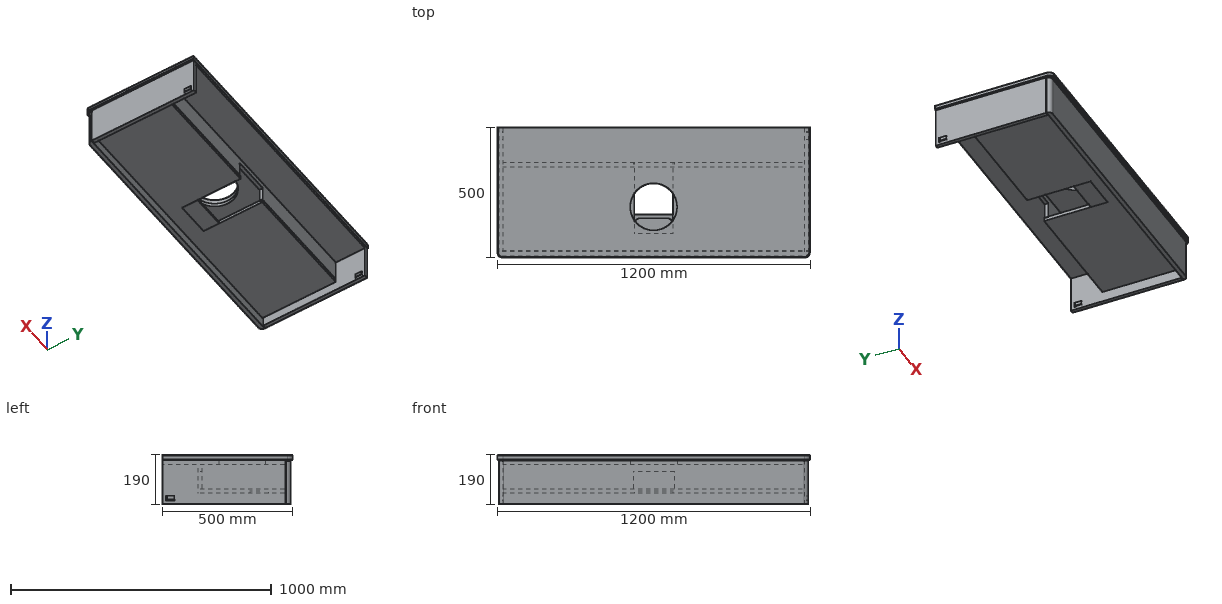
import cadquery as cq
WIDTH = 1200.0
DEPTH = 500.0
HEIGHT = 190.0
BACK_Y = DEPTH / 2
BOARD = 15.0

TOP_THICKNESS = 20.0
TOP_CORNER_RADIUS = 22.0
TOP_CHAMFER = 3.0
TOP_BOTTOM_Z = HEIGHT - TOP_THICKNESS

OPENING_DIAMETER = 180.0
OPENING_Y = -55.0

OVERHANG = 6.0
SIDE_FRONT_Y = -222.0
SIDE_OUTER_X = WIDTH / 2 - OVERHANG
SIDE_INNER_X = SIDE_OUTER_X - BOARD
SIDE_LENGTH = BACK_Y - SIDE_FRONT_Y
INNER_WIDTH = 2 * SIDE_INNER_X
TOP_PANEL_BOTTOM_Z = TOP_BOTTOM_Z - BOARD

FRONT_GAP = 2.0
FRONT_THICKNESS = 18.0
FRONT_CORNER_RADIUS = 35.0 / 2
FRONT_BACK_Y = SIDE_FRONT_Y - FRONT_GAP
FRONT_HEIGHT = TOP_BOTTOM_Z - FRONT_GAP

FLOOR_TOP_Z = 60.0
FLOOR_BOTTOM_Z = FLOOR_TOP_Z - BOARD
DRAWER_BACK_INNER_Y = 100.0
DRAWER_BACK_Y = DRAWER_BACK_INNER_Y + BOARD
NOTCH_WIDTH = 148.0
BACK_NOTCH_SETBACK = 5.0
BACK_NOTCH_WIDTH = NOTCH_WIDTH + 2 * BACK_NOTCH_SETBACK
NOTCH_TOP_Z = 127.0

GUARD_BACK_Y = OPENING_Y - 29.0
GUARD_LENGTH = 72.0
GUARD_FRONT_Y = GUARD_BACK_Y - GUARD_LENGTH
GUARD_LIP = 15.0
GUARD_LIP_DROP = BOARD / 2
GUARD_CORNER_RADIUS = 23.0

SLOT_LENGTH = 31.0
SLOT_HEIGHT = 18.0
SLOT_FROM_BACK = 15.0
SLOT_BOTTOM_Z = 15.0
HANGER_GAP = 4.0
SLOT_FRONT_Y = BACK_Y - SLOT_FROM_BACK - SLOT_LENGTH


def block(x_min, y_min, z_min, x_size, y_size, z_size):
    """Box placed by its minimum corner."""
    return cq.Workplane("XY").box(x_size, y_size, z_size, centered=False).translate((x_min, y_min, z_min))


def centred_block(y_min, z_min, x_size, y_size, z_size):
    """Box placed symmetrically about X = 0."""
    return block(-x_size / 2, y_min, z_min, x_size, y_size, z_size)


def cut_round_opening(panel):
    """Cut the round opening through the full height of a panel."""
    drill = cq.Workplane("XY").center(0, OPENING_Y).circle(OPENING_DIAMETER / 2).extrude(HEIGHT)
    return panel.cut(drill)


def side_panel_x(side):
    """Lower X limit of the panel on the left (-1) or right (+1) side."""
    return -SIDE_OUTER_X if side < 0 else SIDE_INNER_X


def make_countertop():
    slab = centred_block(-BACK_Y, TOP_BOTTOM_Z, WIDTH, DEPTH, TOP_THICKNESS)
    slab = slab.edges("|Z and <Y").fillet(TOP_CORNER_RADIUS)
    rim_edges = [edge for edge in slab.faces("|Z").edges().vals() if edge.Center().y < BACK_Y - TOP_CHAMFER]
    slab = slab.newObject(rim_edges).chamfer(TOP_CHAMFER)
    return cut_round_opening(slab)


def make_top_panel():
    panel = centred_block(SIDE_FRONT_Y, TOP_PANEL_BOTTOM_Z, INNER_WIDTH, SIDE_LENGTH, BOARD)
    return cut_round_opening(panel)


def make_side_panel(side):
    x_min = side_panel_x(side)
    panel = block(x_min, SIDE_FRONT_Y, 0, BOARD, SIDE_LENGTH, TOP_BOTTOM_Z)
    return panel.cut(block(x_min, SLOT_FRONT_Y, SLOT_BOTTOM_Z, BOARD, SLOT_LENGTH, SLOT_HEIGHT))


def make_hanger(side):
    """Hanger block in the slot, against the slot's front and top faces."""
    return block(
        side_panel_x(side), SLOT_FRONT_Y, SLOT_BOTTOM_Z + HANGER_GAP,
        BOARD, SLOT_LENGTH - HANGER_GAP, SLOT_HEIGHT - HANGER_GAP,
    )


def make_drawer_front():
    front_y = FRONT_BACK_Y - FRONT_THICKNESS
    panel = centred_block(front_y, 0, 2 * SIDE_OUTER_X, FRONT_THICKNESS, FRONT_HEIGHT)
    return panel.edges("|Z and <Y").fillet(FRONT_CORNER_RADIUS)


def make_drawer_floor():
    floor_length = DRAWER_BACK_Y - FRONT_BACK_Y
    floor = centred_block(FRONT_BACK_Y, FLOOR_BOTTOM_Z, INNER_WIDTH, floor_length, BOARD)
    notch_length = DRAWER_BACK_Y - GUARD_FRONT_Y
    return floor.cut(centred_block(GUARD_FRONT_Y, FLOOR_BOTTOM_Z, NOTCH_WIDTH, notch_length, BOARD))


def make_drawer_back():
    panel_height = TOP_PANEL_BOTTOM_Z - FLOOR_TOP_Z
    panel = centred_block(DRAWER_BACK_INNER_Y, FLOOR_TOP_Z, INNER_WIDTH, BOARD, panel_height)
    notch_height = NOTCH_TOP_Z - FLOOR_TOP_Z
    return panel.cut(centred_block(DRAWER_BACK_INNER_Y, FLOOR_TOP_Z, BACK_NOTCH_WIDTH, BOARD, notch_height))


def make_trap_guard():
    base_height = BOARD - GUARD_LIP_DROP
    base = centred_block(GUARD_FRONT_Y, FLOOR_BOTTOM_Z, NOTCH_WIDTH, GUARD_LENGTH, base_height)
    pad_length = GUARD_LENGTH - GUARD_LIP
    pad = centred_block(GUARD_FRONT_Y, FLOOR_BOTTOM_Z, NOTCH_WIDTH, pad_length, BOARD)
    pad = pad.edges("|Z and >Y").fillet(GUARD_CORNER_RADIUS)
    return base.union(pad)


countertop = make_countertop()
top_panel = make_top_panel()
drawer_front = make_drawer_front()
drawer_floor = make_drawer_floor()
drawer_back = make_drawer_back()
trap_guard = make_trap_guard()

SIDES = (-1, 1)
side_panels = [make_side_panel(side) for side in SIDES]
hangers = [make_hanger(side) for side in SIDES]

bodies = [countertop, top_panel, drawer_front, drawer_floor, drawer_back, trap_guard, *side_panels, *hangers]
result = cq.Compound.makeCompound([body.val() for body in bodies])